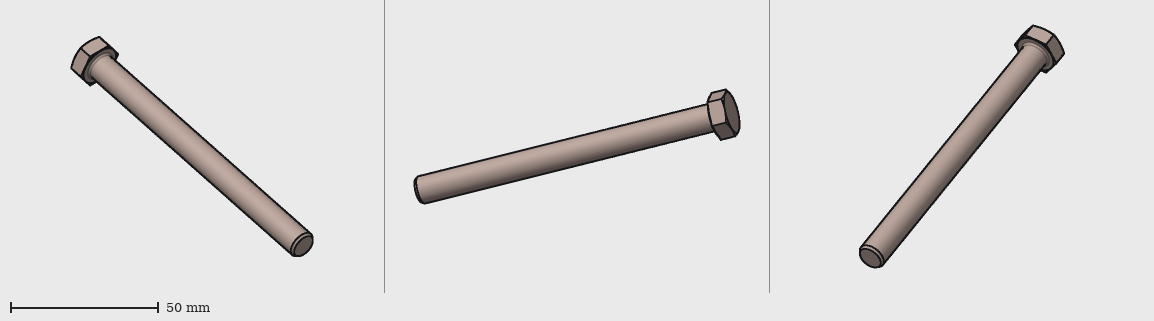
import cadquery as cq
import math

total_length = 114.1
across_flats = 14.3
head_height = 5.9
washer_face_height = 0.2
washer_face_diameter = 14.3
crown_diameter = 14.2
crown_angle = 25.0
shank_diameter = 9.6
fillet_radius = 0.7
tip_chamfer_length = 1.0
tip_chamfer_depth = 0.7

across_corners = across_flats / math.cos(math.radians(30))
hex_height = head_height - washer_face_height
corner_radius = across_corners / 2
crown_radius = crown_diameter / 2
shank_radius = shank_diameter / 2


def hex_head():
    """Hexagonal prism with corners on Y, its outer corners cut by a cone."""
    prism = cq.Workplane("YZ").polygon(6, across_corners).extrude(hex_height)
    envelope_clearance = 1.1
    envelope_radius = corner_radius + envelope_clearance
    cone_length = (envelope_radius - crown_radius) * math.tan(math.radians(crown_angle))
    envelope = (
        cq.Workplane("XZ")
        .lineTo(0, crown_radius)
        .lineTo(cone_length, envelope_radius)
        .lineTo(hex_height, envelope_radius)
        .lineTo(hex_height, 0)
        .close()
        .revolve(360, (0, 0), (1, 0))
    )
    return prism.intersect(envelope)


def washer_face():
    """Round bearing face under the hexagon."""
    return (
        cq.Workplane("YZ", origin=(hex_height, 0, 0))
        .circle(washer_face_diameter / 2)
        .extrude(washer_face_height)
    )


def shank():
    """Plain shank with a fillet under the head and a chamfered tip."""
    fillet_centre = (head_height + fillet_radius, shank_radius + fillet_radius)
    diagonal = fillet_radius * math.sqrt(0.5)
    fillet_middle = (fillet_centre[0] - diagonal, fillet_centre[1] - diagonal)
    return (
        cq.Workplane("XZ")
        .moveTo(head_height, 0)
        .lineTo(head_height, shank_radius + fillet_radius)
        .threePointArc(fillet_middle, (head_height + fillet_radius, shank_radius))
        .lineTo(total_length - tip_chamfer_length, shank_radius)
        .lineTo(total_length, shank_radius - tip_chamfer_depth)
        .lineTo(total_length, 0)
        .close()
        .revolve(360, (0, 0), (1, 0))
    )


result = hex_head().union(washer_face()).union(shank())